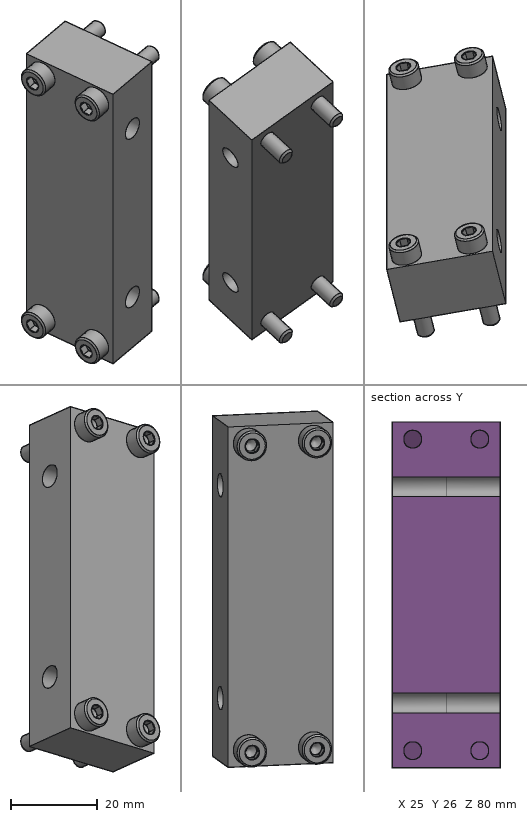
import cadquery as cq
import math

block_width = 25.0
block_depth = 15.0
block_height = 80.0

cross_hole_diameter = 5.4
cross_hole_spacing = 50.0

screw_spacing_x = 15.5
screw_spacing_z = 72.0
shank_diameter = 4.0
shank_length = 22.0
shank_chamfer = 0.5
head_diameter = 7.0
head_height = 4.0
head_chamfer = 0.4

socket_across_flats = 3.0
socket_depth = 2.0
socket_cone_angle = 120.0
socket_corner_diameter = socket_across_flats / math.cos(math.pi / 6)
socket_mouth_diameter = socket_corner_diameter

screw_positions = [
    (x, z)
    for x in (-screw_spacing_x / 2, screw_spacing_x / 2)
    for z in (-screw_spacing_z / 2, screw_spacing_z / 2)
]


def make_block():
    """Rectangular block with four screw holes and two cross holes."""
    block = cq.Workplane("XY").box(block_width, block_depth, block_height, centered=(True, False, True))
    screw_holes = (
        cq.Workplane("XZ")
        .pushPoints(screw_positions)
        .circle(shank_diameter / 2)
        .extrude(-block_depth)
    )
    cross_holes = (
        cq.Workplane("YZ")
        .pushPoints([(block_depth / 2, z) for z in (-cross_hole_spacing / 2, cross_hole_spacing / 2)])
        .circle(cross_hole_diameter / 2)
        .extrude(block_width / 2, both=True)
    )
    return block.cut(screw_holes).cut(cross_holes)


def make_socket_cone(diameter, start_y):
    """Cone along +Y, with its base of the given diameter at start_y."""
    radius = diameter / 2
    length = radius / math.tan(math.radians(socket_cone_angle / 2))
    return cq.Workplane(cq.Solid.makeCone(radius, 0, length, cq.Vector(0, start_y, 0), cq.Vector(0, 1, 0)))


def make_socket():
    """Hexagonal socket with a countersunk mouth and a conical bottom."""
    hexagon = (
        cq.Workplane("XZ", origin=(0, -head_height, 0))
        .polygon(6, socket_corner_diameter)
        .extrude(-socket_depth)
    )
    mouth = make_socket_cone(socket_mouth_diameter, -head_height)
    bottom = make_socket_cone(socket_across_flats, socket_depth - head_height)
    return hexagon.union(mouth).union(bottom)


def make_screw(x, z):
    """Cap screw with its head seated on the front face of the block."""
    head = (
        cq.Workplane("XZ")
        .circle(head_diameter / 2)
        .extrude(head_height)
        .faces("<Y")
        .chamfer(head_chamfer)
    )
    shank = (
        cq.Workplane("XZ")
        .circle(shank_diameter / 2)
        .extrude(-shank_length)
        .faces(">Y")
        .chamfer(shank_chamfer)
    )
    return head.union(shank).cut(make_socket()).translate((x, 0, z))


block = make_block()
screws = [make_screw(x, z) for x, z in screw_positions]

result = cq.Compound.makeCompound([block.val(), *[screw.val() for screw in screws]])